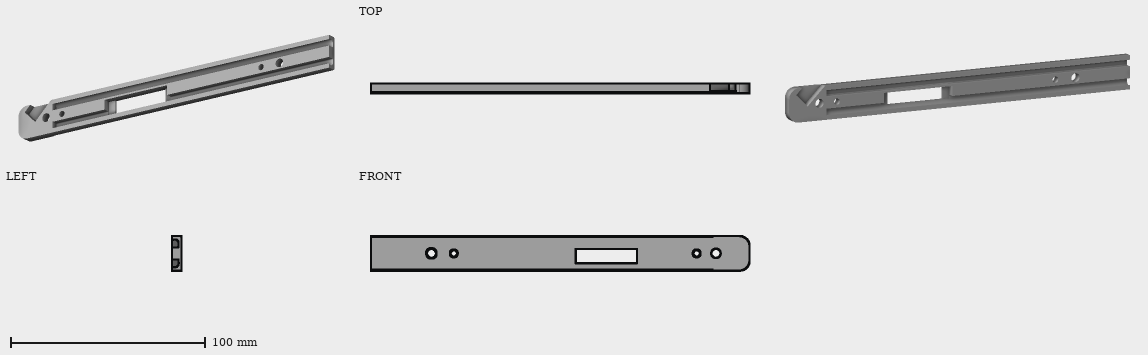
import cadquery as cq
import math

LENGTH = 195.3
THICKNESS = 5.0
HEIGHT = 18.0
END_RADIUS = 5.3

FRONT_WALL = 1.2
RECESS_DEPTH = THICKNESS - FRONT_WALL

EDGE_CHAMFER = 0.5
EDGE_CHAMFER_LENGTH = 176.1

GROOVE_WIDTH = 4.1
GROOVE_DEPTH = 3.5
GROOVE_EDGE_WALL = 1.8
GROOVE_CORNER_RADIUS = 0.5
GROOVE_LENGTH = 173.8

NOTCH_START_X = 174.8
NOTCH_END_X = 187.8
NOTCH_BOTTOM_X = 184.7

WINDOW_START_X = 105.6
WINDOW_LENGTH = 31.5
WINDOW_HEIGHT = 7.2
WINDOW_BOTTOM_Z = 4.0 - HEIGHT / 2

WINDOW_POCKET_OVERHANG = 4.0

HOLE_CHAMFER = 0.4
LARGE_HOLE = 4.7
SMALL_HOLE = 3.3
HOLES = [
    (31.2, LARGE_HOLE, HOLE_CHAMFER),
    (42.8, SMALL_HOLE, HOLE_CHAMFER),
    (168.0, SMALL_HOLE, HOLE_CHAMFER),
    (177.9, LARGE_HOLE, 0),
]


def along_y(start_y):
    """Sketch plane at start_y with x along X and y along Z; extrusion runs towards -Y."""
    return cq.Workplane("XZ", origin=(0, start_y, 0))


def bar():
    block = along_y(THICKNESS).rect(LENGTH, HEIGHT).extrude(THICKNESS)
    block = block.translate((LENGTH / 2, 0, 0))
    return block.edges("|Y and >X").fillet(END_RADIUS)


def edge_chamfer(side):
    """Wedge that bevels the long front edge at the top (side = 1) or bottom (side = -1)."""
    edge_z = side * HEIGHT / 2
    return (
        cq.Workplane("YZ")
        .moveTo(0, edge_z)
        .lineTo(EDGE_CHAMFER, edge_z)
        .lineTo(0, edge_z - side * EDGE_CHAMFER)
        .close()
        .extrude(EDGE_CHAMFER_LENGTH)
    )


def groove(side):
    """Groove in the back near the top (side = 1) or bottom (side = -1) edge."""
    radius = GROOVE_WIDTH / 2
    centre_y = THICKNESS - GROOVE_DEPTH + radius
    centre_z = side * (HEIGHT / 2 - GROOVE_EDGE_WALL - radius)
    inner_z = centre_z - side * radius
    lip_y = THICKNESS
    lip_z = centre_z + side * math.sqrt(radius**2 - (lip_y - centre_y) ** 2)
    floor_y = centre_y - radius
    cutter = (
        cq.Workplane("YZ")
        .moveTo(lip_y, inner_z)
        .lineTo(floor_y, inner_z)
        .lineTo(floor_y, centre_z)
        .threePointArc((centre_y, centre_z + side * radius), (lip_y, lip_z))
        .close()
        .extrude(GROOVE_LENGTH)
    )
    inner_corner = cq.selectors.NearestToPointSelector((GROOVE_LENGTH / 2, floor_y, inner_z))
    return cutter.edges("|X").edges(inner_corner).fillet(GROOVE_CORNER_RADIUS)


def notch():
    """Tilted slot: two walls run down towards +X, joined by a square end that undercuts the top edge."""
    top_z = HEIGHT / 2
    mouth_half = (NOTCH_END_X - NOTCH_START_X) / 2
    drop = NOTCH_BOTTOM_X - NOTCH_START_X
    outline = [
        (NOTCH_START_X, top_z),
        (NOTCH_BOTTOM_X, top_z - drop),
        (NOTCH_BOTTOM_X + mouth_half, top_z - drop + mouth_half),
        (NOTCH_END_X, top_z),
    ]
    return along_y(THICKNESS).polyline(outline).close().extrude(RECESS_DEPTH)


def window():
    size = (WINDOW_LENGTH, THICKNESS, WINDOW_HEIGHT)
    block = cq.Workplane("XY").box(*size, centered=False)
    return block.translate((WINDOW_START_X, 0, WINDOW_BOTTOM_Z))


def window_pocket():
    length = WINDOW_LENGTH + 2 * WINDOW_POCKET_OVERHANG
    block = cq.Workplane("XY").box(length, RECESS_DEPTH, WINDOW_HEIGHT, centered=False)
    start_x = WINDOW_START_X - WINDOW_POCKET_OVERHANG
    return block.translate((start_x, FRONT_WALL, WINDOW_BOTTOM_Z))


def hole(x, diameter, chamfer):
    radius = diameter / 2
    cutter = along_y(THICKNESS).center(x, 0).circle(radius).extrude(THICKNESS)
    if chamfer:
        mouth = cq.Solid.makeCone(
            radius + chamfer, radius, chamfer, pnt=cq.Vector(x, 0, 0), dir=cq.Vector(0, 1, 0)
        )
        cutter = cutter.union(cq.Workplane(mouth))
    return cutter


result = bar()
for side in (1, -1):
    result = result.cut(edge_chamfer(side))
    result = result.cut(groove(side))
result = result.cut(notch()).cut(window()).cut(window_pocket())
for x, diameter, chamfer in HOLES:
    result = result.cut(hole(x, diameter, chamfer))